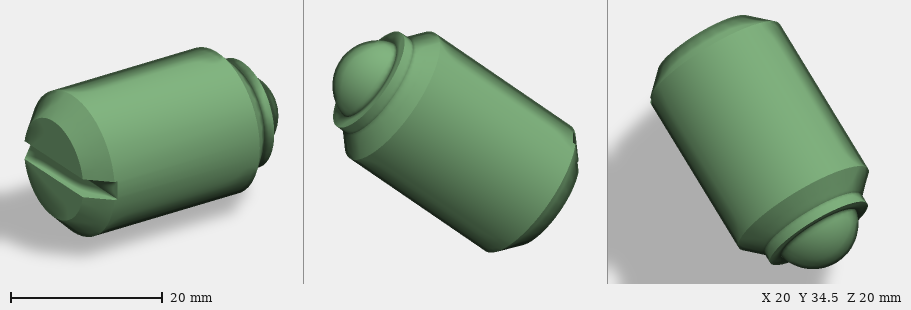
import cadquery as cq

total_length = 34.5
body_radius = 10.0
collar_radius = 15.0 / 2
collar_length = 1.5
slotted_end_chamfer = 3.0
collar_end_chamfer = body_radius - collar_radius
slot_width = 2.62
slot_depth = 3.45
ball_radius = 6.0
ball_protrusion = 4.5

housing_length = total_length - ball_protrusion
ball_center_y = total_length - ball_radius
collar_start_y = housing_length - collar_length


def make_ball():
    """Ball captured in the housing, with its tip beyond the collar."""
    return cq.Workplane("XY").sphere(ball_radius).translate((0, ball_center_y, 0))


def make_turned_body():
    """Cylinder with a cone at each end and a collar around the ball."""
    profile = (
        cq.Workplane("XY")
        .moveTo(0, 0)
        .lineTo(body_radius - slotted_end_chamfer, 0)
        .lineTo(body_radius, slotted_end_chamfer)
        .lineTo(body_radius, collar_start_y - collar_end_chamfer)
        .lineTo(collar_radius, collar_start_y)
        .lineTo(collar_radius, housing_length)
        .lineTo(0, housing_length)
        .close()
    )
    return profile.revolve(360, (0, 0, 0), (0, 1, 0))


def make_screwdriver_slot():
    """Straight slot across the full width of the end face, along X."""
    return cq.Workplane("XY").box(
        2 * body_radius, slot_depth, slot_width, centered=(True, False, True)
    )


def make_housing():
    """Turned body with the screwdriver slot and a seat that matches the ball."""
    return make_turned_body().cut(make_screwdriver_slot()).cut(make_ball())


housing = make_housing()
ball = make_ball()

result = cq.Compound.makeCompound([housing.solids().val(), ball.solids().val()])